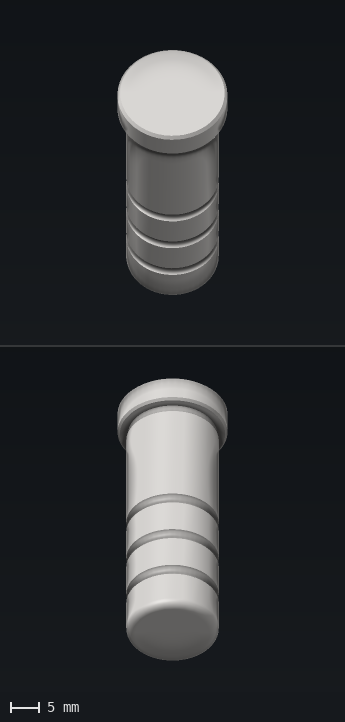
import cadquery as cq

total_height = 50.0
head_diameter = 19.0
head_height = 5.0
head_top_chamfer = 0.5
head_bottom_chamfer = 0.4

shank_diameter = 16.0
shank_end_fillet = 1.5

neck_length = 1.5
neck_depth = 0.3

groove_count = 3
groove_width = 2.0
groove_depth = 0.65
groove_pitch = 8.0
first_groove_z = 24.0

shank_radius = shank_diameter / 2
head_underside_z = total_height - head_height


def make_head():
    """Chamfered disc at the top of the pin."""
    head = cq.Workplane("XY").workplane(offset=head_underside_z).circle(head_diameter / 2).extrude(head_height)
    head = head.faces(">Z").edges().chamfer(head_top_chamfer)
    return head.faces("<Z").edges().chamfer(head_bottom_chamfer)


def make_shank():
    """Round shank with a rounded lower end, reaching up to the head."""
    shank = cq.Workplane("XY").circle(shank_radius).extrude(head_underside_z)
    return shank.faces("<Z").edges().fillet(shank_end_fillet)


def make_neck_cutter():
    """Ring that thins the shank under the head, with a 45 degree lower shoulder."""
    neck_radius = shank_radius - neck_depth
    shoulder_z = head_underside_z - neck_length
    profile = (
        cq.Workplane("XZ")
        .moveTo(shank_radius, shoulder_z)
        .lineTo(shank_radius, head_underside_z)
        .lineTo(neck_radius, head_underside_z)
        .lineTo(neck_radius, shoulder_z + neck_depth)
        .close()
    )
    return profile.revolve(360, (0, 0, 0), (0, 1, 0))


def make_groove_cutter(center_z):
    """Ring with an arc-shaped floor, centred on the given height."""
    half_width = groove_width / 2
    profile = (
        cq.Workplane("XZ")
        .moveTo(shank_radius, center_z - half_width)
        .threePointArc((shank_radius - groove_depth, center_z), (shank_radius, center_z + half_width))
        .close()
    )
    return profile.revolve(360, (0, 0, 0), (0, 1, 0))


shank = make_shank().cut(make_neck_cutter())
for index in range(groove_count):
    shank = shank.cut(make_groove_cutter(first_groove_z - index * groove_pitch))

result = make_head().union(shank)